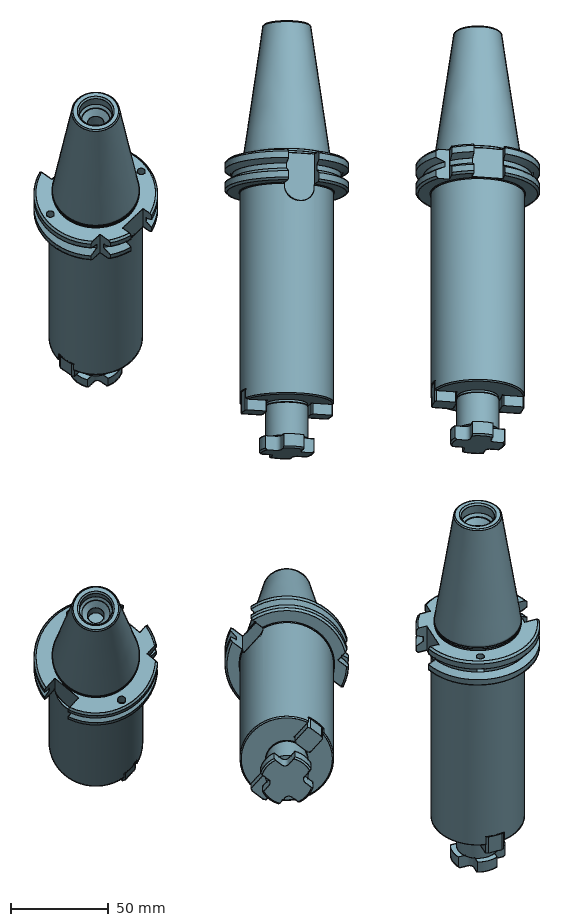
import cadquery as cq
import math

TOTAL_LENGTH = 224.5

TAPER_LENGTH = 68.5
TAPER_TOP_RADIUS = 12.3
GAUGE_RADIUS = 22.2
TAPER_TOP_CHAMFER = 0.7
COLLAR_RADIUS = 22.5
COLLAR_TOP = -1.0
COLLAR_HEIGHT = 1.1
NECK_RADIUS = GAUGE_RADIUS

FLANGE_RADIUS = 63.5 / 2
FLANGE_TOP = -3.1
FLANGE_HEIGHT = 16.0
FLANGE_BOTTOM = FLANGE_TOP - FLANGE_HEIGHT
FLANGE_CHAMFER = 1.1
GROOVE_CENTRE = FLANGE_TOP - FLANGE_HEIGHT / 2
GROOVE_RADIUS = 28.0
GROOVE_FLOOR_HALF = 1.3
GROOVE_MOUTH_HALF = GROOVE_FLOOR_HALF + (FLANGE_RADIUS - GROOVE_RADIUS) * math.tan(math.radians(30))

SLOT_WIDTH = 16.2
SLOT_DEPTH_BELOW_FLANGE_TOP = 25.1
LEFT_SLOT_FLOOR = 22.7
RIGHT_SLOT_FLOOR = 25.0
NOTCH_OFFSET = 18.6
COOLANT_HOLE_DIAMETER = 4.0
COOLANT_HOLE_X = 9.0
COOLANT_HOLE_Y = 25.4
COOLANT_HOLE_DEPTH = FLANGE_TOP - GROOVE_CENTRE + GROOVE_FLOOR_HALF

BODY_RADIUS = 24.0
BODY_CHAMFER = 0.7
BODY_TOP_FLARE = 0.5
PILOT_RADIUS = 11.0
PILOT_LENGTH = 18.6
PILOT_CHAMFER = 0.5
PILOT_NECK_RADIUS = PILOT_RADIUS - PILOT_CHAMFER
PILOT_NECK_LENGTH = 1.1

HEAD_RADIUS = 28.0 / 2
HEAD_HEIGHT = 7.5
HEAD_ARM_WIDTH = 10.8
HEAD_CORNER_FILLET = 2.5
HEAD_CHAMFER = 1.0
HEAD_BOTTOM = TAPER_LENGTH - TOTAL_LENGTH
HEAD_TOP = HEAD_BOTTOM + HEAD_HEIGHT
BODY_BOTTOM = HEAD_TOP + PILOT_LENGTH

KEY_WIDTH = 10.0
KEY_OUTER_Y = 23.3
KEY_INNER_Y = 12.0
KEY_CHAMFER_X = 1.3
KEY_CHAMFER_Y = 0.7
KEY_ABOVE = 5.4
KEY_BELOW = 5.5

BORE_RADIUS = 8.5
BORE_CHAMFER = 1.0
BORE_DEPTH = 5.8
THREAD_RADIUS = 7.2
THREAD_DEPTH = 7.6
CORE_RADIUS = 4.3
CORE_DEPTH = 18.0


def revolve(profile):
    """Turn a list of (radius, z) points about the Z axis."""
    return cq.Workplane("XZ").polyline(profile).close().revolve(360, (0, 0), (0, 1))


def turned_blank():
    collar_bottom = COLLAR_TOP - COLLAR_HEIGHT
    pilot_neck_bottom = BODY_BOTTOM - PILOT_NECK_LENGTH
    return revolve([
        (0, TAPER_LENGTH),
        (TAPER_TOP_RADIUS - TAPER_TOP_CHAMFER, TAPER_LENGTH),
        (TAPER_TOP_RADIUS, TAPER_LENGTH - TAPER_TOP_CHAMFER),
        (GAUGE_RADIUS, 0),
        (GAUGE_RADIUS, COLLAR_TOP),
        (COLLAR_RADIUS, COLLAR_TOP),
        (COLLAR_RADIUS, collar_bottom),
        (NECK_RADIUS, collar_bottom),
        (NECK_RADIUS, FLANGE_TOP),
        (FLANGE_RADIUS - FLANGE_CHAMFER, FLANGE_TOP),
        (FLANGE_RADIUS, FLANGE_TOP - FLANGE_CHAMFER),
        (FLANGE_RADIUS, GROOVE_CENTRE + GROOVE_MOUTH_HALF),
        (GROOVE_RADIUS, GROOVE_CENTRE + GROOVE_FLOOR_HALF),
        (GROOVE_RADIUS, GROOVE_CENTRE - GROOVE_FLOOR_HALF),
        (FLANGE_RADIUS, GROOVE_CENTRE - GROOVE_MOUTH_HALF),
        (FLANGE_RADIUS, FLANGE_BOTTOM + FLANGE_CHAMFER),
        (FLANGE_RADIUS - FLANGE_CHAMFER, FLANGE_BOTTOM),
        (BODY_RADIUS + BODY_TOP_FLARE, FLANGE_BOTTOM),
        (BODY_RADIUS, FLANGE_BOTTOM - BODY_TOP_FLARE),
        (BODY_RADIUS, BODY_BOTTOM + BODY_CHAMFER),
        (BODY_RADIUS - BODY_CHAMFER, BODY_BOTTOM),
        (PILOT_NECK_RADIUS, BODY_BOTTOM),
        (PILOT_NECK_RADIUS, pilot_neck_bottom),
        (PILOT_RADIUS, pilot_neck_bottom - PILOT_CHAMFER),
        (PILOT_RADIUS, HEAD_TOP),
        (0, HEAD_TOP),
    ])


def taper_bore():
    cone_end = BORE_DEPTH + BORE_RADIUS - THREAD_RADIUS
    core_start = THREAD_DEPTH + THREAD_RADIUS - CORE_RADIUS
    steps = [
        (0, 0),
        (BORE_RADIUS + BORE_CHAMFER, 0),
        (BORE_RADIUS, BORE_CHAMFER),
        (BORE_RADIUS, BORE_DEPTH),
        (THREAD_RADIUS, cone_end),
        (THREAD_RADIUS, THREAD_DEPTH),
        (CORE_RADIUS, core_start),
        (CORE_RADIUS, CORE_DEPTH),
        (0, CORE_DEPTH),
    ]
    return revolve([(radius, TAPER_LENGTH - depth) for radius, depth in steps])


def drive_slot(side, floor):
    """Slot cut inward from +X (side = 1) or -X (side = -1) with a round lower end."""
    radius = SLOT_WIDTH / 2
    arc_centre = FLANGE_TOP - SLOT_DEPTH_BELOW_FLANGE_TOP + radius
    return (
        cq.Workplane("YZ")
        .moveTo(-radius, FLANGE_TOP)
        .lineTo(-radius, arc_centre)
        .threePointArc((0, arc_centre - radius), (radius, arc_centre))
        .lineTo(radius, FLANGE_TOP)
        .close()
        .extrude(side * FLANGE_RADIUS)
        .translate((side * floor, 0, 0))
    )


def orientation_notch():
    return (
        cq.Workplane("XY", origin=(NOTCH_OFFSET, -NOTCH_OFFSET, FLANGE_BOTTOM))
        .rect(FLANGE_RADIUS, -FLANGE_RADIUS, centered=False)
        .extrude(FLANGE_HEIGHT)
    )


def coolant_holes():
    return (
        cq.Workplane("XY", origin=(0, 0, FLANGE_TOP))
        .pushPoints([(COOLANT_HOLE_X, COOLANT_HOLE_Y), (-COOLANT_HOLE_X, -COOLANT_HOLE_Y)])
        .circle(COOLANT_HOLE_DIAMETER / 2)
        .extrude(-COOLANT_HOLE_DEPTH)
    )


def key_seat(side):
    """Clearance for a drive key through the rim of the body."""
    return (
        cq.Workplane("XY", origin=(0, side * KEY_INNER_Y, BODY_BOTTOM))
        .rect(KEY_WIDTH, side * BODY_RADIUS, centered=(True, False))
        .extrude(KEY_ABOVE)
    )


def drive_key(side):
    """Upright block with its four vertical corners bevelled."""
    half_width = KEY_WIDTH / 2
    half_length = (KEY_OUTER_Y - KEY_INNER_Y) / 2
    face_x = half_width - KEY_CHAMFER_X
    face_y = half_length - KEY_CHAMFER_Y
    centre_y = side * (KEY_OUTER_Y + KEY_INNER_Y) / 2
    return (
        cq.Workplane("XY", origin=(0, centre_y, BODY_BOTTOM - KEY_BELOW))
        .polyline([
            (half_width, face_y),
            (face_x, half_length),
            (-face_x, half_length),
            (-half_width, face_y),
            (-half_width, -face_y),
            (-face_x, -half_length),
            (face_x, -half_length),
            (half_width, -face_y),
        ])
        .close()
        .extrude(KEY_BELOW + KEY_ABOVE)
    )


def head_bar(size_x, size_y):
    return cq.Workplane("XY", origin=(0, 0, HEAD_BOTTOM)).rect(size_x, size_y).extrude(HEAD_HEIGHT)


def screw_head():
    """Round head notched into four arms, with rounded inner corners."""
    span = 2 * HEAD_RADIUS
    cross = head_bar(span, HEAD_ARM_WIDTH).union(head_bar(HEAD_ARM_WIDTH, span))
    inner_corners = cq.selectors.BoxSelector(
        (-HEAD_ARM_WIDTH, -HEAD_ARM_WIDTH, HEAD_BOTTOM),
        (HEAD_ARM_WIDTH, HEAD_ARM_WIDTH, HEAD_TOP),
    )
    cross = cross.edges("|Z").edges(inner_corners).fillet(HEAD_CORNER_FILLET)
    disc = (
        cq.Workplane("XY", origin=(0, 0, HEAD_BOTTOM))
        .circle(HEAD_RADIUS)
        .extrude(HEAD_HEIGHT)
        .faces("<Z")
        .chamfer(HEAD_CHAMFER)
    )
    return cross.intersect(disc)


result = turned_blank().cut(taper_bore())
result = result.cut(drive_slot(-1, LEFT_SLOT_FLOOR)).cut(drive_slot(1, RIGHT_SLOT_FLOOR))
result = result.cut(orientation_notch()).cut(coolant_holes())
for side in (-1, 1):
    result = result.cut(key_seat(side)).union(drive_key(side))
result = result.union(screw_head())